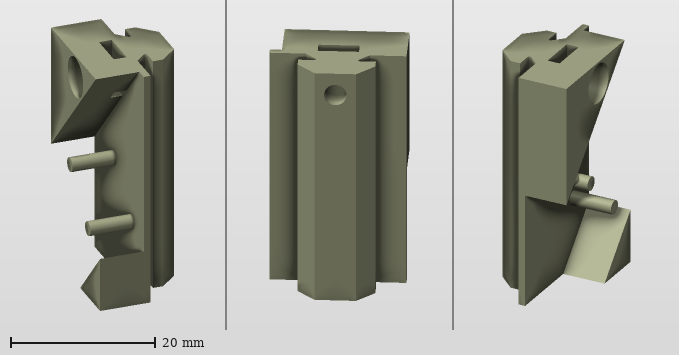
import cadquery as cq

WIDTH = 19.0
DEPTH = 13.5
HEIGHT = 35.0
HALF_WIDTH = WIDTH / 2

PLATE_BACK = 7.5
PLATE_THICKNESS = 1.0
PLATE_FRONT = PLATE_BACK - PLATE_THICKNESS

RAIL_HALF_WIDTH = 5.4
RAIL_CREST_HALF_WIDTH = 2.87
RAIL_BEVEL_DEPTH = 2.6
RAIL_HEAD_DEPTH = 4.1
RAIL_ROOT_HALF_WIDTH = 4.45
NECK_FILLET = 0.28

UPPER_BLOCK_WIDTH = 17.32
UPPER_BLOCK_HEIGHT = 17.95
LOWER_BLOCK_WIDTH = 7.7
LOWER_BLOCK_HEIGHT = 8.05

PIN_DIAMETER = 2.1
PIN_CENTRES = [(-2.2, 17.2), (4.72, 10.5)]

HOLE_DIAMETER = 3.1
COUNTERBORE_DIAMETER = 6.0
COUNTERBORE_DEPTH = 3.0
HOLE_BELOW_TOP = 3.3
SLOT_WIDTH = 5.75
SLOT_THICKNESS = 1.9
SLOT_DEPTH = 2 * HOLE_BELOW_TOP


def make_plate():
    return cq.Workplane("XY").box(WIDTH, PLATE_THICKNESS, HEIGHT, centered=(True, False, False)).translate(
        (0, PLATE_FRONT, 0)
    )


def make_rail():
    shoulder_y = DEPTH - RAIL_HEAD_DEPTH
    neck_half_width = RAIL_ROOT_HALF_WIDTH - (shoulder_y - PLATE_BACK)
    right_side = [
        (RAIL_ROOT_HALF_WIDTH, PLATE_BACK),
        (neck_half_width, shoulder_y),
        (RAIL_HALF_WIDTH, shoulder_y),
        (RAIL_HALF_WIDTH, DEPTH - RAIL_BEVEL_DEPTH),
        (RAIL_CREST_HALF_WIDTH, DEPTH),
    ]
    left_side = [(-x, y) for x, y in reversed(right_side)]
    rail = cq.Workplane("XY").polyline(right_side + left_side).close().extrude(HEIGHT)
    neck_corners = cq.selectors.BoxSelector(
        (-neck_half_width - NECK_FILLET, shoulder_y - NECK_FILLET, 0),
        (neck_half_width + NECK_FILLET, shoulder_y + NECK_FILLET, HEIGHT),
    )
    return rail.edges("|Z").edges(neck_corners).fillet(NECK_FILLET)


def make_corner_block(corner_x, corner_z, run_x, rise_z):
    """Right-angled triangle between the plate and the front face."""
    outline = [(corner_x, corner_z), (corner_x + run_x, corner_z), (corner_x, corner_z + rise_z)]
    return cq.Workplane("XZ").polyline(outline).close().extrude(-PLATE_FRONT)


def make_pins():
    return cq.Workplane("XZ").pushPoints(PIN_CENTRES).circle(PIN_DIAMETER / 2).extrude(-PLATE_FRONT)


def make_screw_hole():
    start = cq.Workplane("XZ").center(0, HEIGHT - HOLE_BELOW_TOP)
    counterbore = start.circle(COUNTERBORE_DIAMETER / 2).extrude(-COUNTERBORE_DEPTH)
    return counterbore.union(start.circle(HOLE_DIAMETER / 2).extrude(-DEPTH))


def make_nut_slot():
    slot = cq.Workplane("XY").box(SLOT_WIDTH, SLOT_THICKNESS, SLOT_DEPTH, centered=(True, False, False))
    return slot.translate((0, PLATE_FRONT - SLOT_THICKNESS, HEIGHT - SLOT_DEPTH))


upper_block = make_corner_block(-HALF_WIDTH, HEIGHT, UPPER_BLOCK_WIDTH, -UPPER_BLOCK_HEIGHT)
lower_block = make_corner_block(HALF_WIDTH, 0, -LOWER_BLOCK_WIDTH, LOWER_BLOCK_HEIGHT)

result = (
    make_plate()
    .union(make_rail())
    .union(upper_block)
    .union(lower_block)
    .union(make_pins())
    .cut(make_screw_hole())
    .cut(make_nut_slot())
)